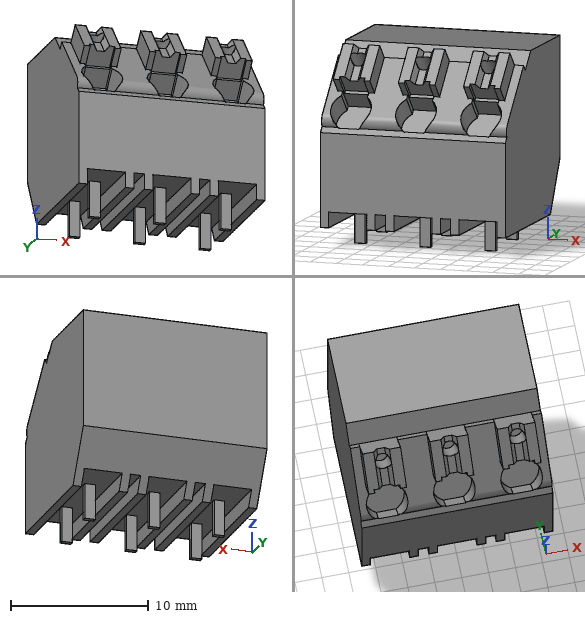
import cadquery as cq
import math


OVERALL_HEIGHT = 14.66
POLE_COUNT = 3
POLE_PITCH = 5.0
POLE_XS = [(i - (POLE_COUNT - 1) / 2) * POLE_PITCH for i in range(POLE_COUNT)]

HOUSING_WIDTH = 14.2
HOUSING_DEPTH = 12.7
HOUSING_HEIGHT = 12.9
BEVEL_FRONT_Z = 7.02
BACK_CHAMFER_DEPTH = 2.26
BACK_CHAMFER_HEIGHT = 3.87
CHANNEL_WIDTH = 2.92
RIB_GAP_WIDTH = 0.78
CHANNEL_HEIGHT = 1.17

SHELF_START = 0.53
SHELF_END = 6.55
SHELF_HEIGHT = 0.59
SHELF_NOSE_RADIUS = 0.73

ENTRY_CENTER = 1.82
ENTRY_RADIUS = 1.52
ENTRY_SHIFT = -0.05
ENTRY_FLAT_OFFSET = 1.33
ENTRY_FLOOR = -1.29
ENTRY_SLOT_WIDTH = 2.0

BUTTON_WIDTH = 2.81
BUTTON_LENGTH = 3.2
BUTTON_RISE = 1.5
BUTTON_FRONT = SHELF_END - BUTTON_LENGTH
BUTTON_TOP = SHELF_HEIGHT + BUTTON_RISE
BUTTON_BOTTOM = ENTRY_FLOOR
NOTCH_WIDTH = 1.9
NOTCH_LENGTH = 0.26
NOTCH_FLOOR = 0.32
GROOVE_TOP_WIDTH = 1.17
GROOVE_FLOOR_WIDTH = 0.59
GROOVE_DEPTH = 0.48
TOOL_HOLE_RADIUS = GROOVE_TOP_WIDTH / 2
TOOL_HOLE_CENTER = 5.54
TOOL_HOLE_FLOOR = 0.0

PIN_WIDTH = 0.8
PIN_THICKNESS = 0.4
PIN_ROW_YS = [3.02, 3.02 + POLE_PITCH]

BUTTON_PEAK_Z = BEVEL_FRONT_Z + (SHELF_END + BUTTON_TOP) * math.sqrt(0.5)
PIN_BOTTOM = BUTTON_PEAK_Z - OVERALL_HEIGHT


def slope_plane(x, height):
    """Plane parallel to the bevel: local x is X, local y runs up the slope."""
    bevel = cq.Plane(origin=(x, 0, BEVEL_FRONT_Z), xDir=(1, 0, 0), normal=(0, -1, 1))
    return cq.Workplane(bevel).workplane(offset=height)


def slope_block(x, width, start, end, bottom, top):
    """Block aligned with the bevel, centred on x."""
    return (
        slope_plane(x, bottom)
        .center(0, (start + end) / 2)
        .rect(width, end - start)
        .extrude(top - bottom)
    )


def slope_point(along, height):
    """(Y, Z) of a point given by its distance up the bevel and height above it."""
    return (
        (along - height) * math.sqrt(0.5),
        BEVEL_FRONT_Z + (along + height) * math.sqrt(0.5),
    )


def make_housing_body():
    nose_end_along = SHELF_START + SHELF_NOSE_RADIUS
    nose_center_height = SHELF_HEIGHT - SHELF_NOSE_RADIUS
    nose_foot_along = nose_end_along - math.sqrt(SHELF_NOSE_RADIUS**2 - nose_center_height**2)
    nose_reach = SHELF_NOSE_RADIUS * math.sqrt(0.5)
    return (
        cq.Workplane("YZ", origin=(-HOUSING_WIDTH / 2, 0, 0))
        .moveTo(0, 0)
        .lineTo(0, BEVEL_FRONT_Z)
        .lineTo(*slope_point(nose_foot_along, 0))
        .threePointArc(
            slope_point(nose_end_along - nose_reach, nose_center_height + nose_reach),
            slope_point(nose_end_along, SHELF_HEIGHT),
        )
        .lineTo(*slope_point(SHELF_END, SHELF_HEIGHT))
        .lineTo(*slope_point(SHELF_END, 0))
        .lineTo(HOUSING_HEIGHT - BEVEL_FRONT_Z, HOUSING_HEIGHT)
        .lineTo(HOUSING_DEPTH, HOUSING_HEIGHT)
        .lineTo(HOUSING_DEPTH, BACK_CHAMFER_HEIGHT)
        .lineTo(HOUSING_DEPTH - BACK_CHAMFER_DEPTH, 0)
        .close()
        .extrude(HOUSING_WIDTH)
    )


def make_channel(x, width):
    """Channel along Y through the underside of the housing."""
    return cq.Workplane("XY").box(
        width, HOUSING_DEPTH, CHANNEL_HEIGHT, centered=(True, False, False)
    ).translate((x, 0, 0))


def make_wire_entry(x):
    """Round entry with a flat lower side and a slot reaching the button."""
    round_entry = (
        slope_plane(x, ENTRY_FLOOR)
        .center(0, ENTRY_CENTER)
        .circle(ENTRY_RADIUS)
        .extrude(BUTTON_TOP - ENTRY_FLOOR)
    )
    above_flat = slope_block(
        x, 2 * ENTRY_RADIUS, ENTRY_CENTER - ENTRY_FLAT_OFFSET, BUTTON_FRONT, ENTRY_FLOOR, BUTTON_TOP
    )
    slot = slope_block(x, ENTRY_SLOT_WIDTH, ENTRY_CENTER, BUTTON_FRONT, ENTRY_FLOOR, BUTTON_TOP)
    return round_entry.intersect(above_flat).union(slot)


def make_button_block(x):
    """Outer block of a button, which is also the shape of its pocket."""
    return slope_block(x, BUTTON_WIDTH, BUTTON_FRONT, SHELF_END, BUTTON_BOTTOM, BUTTON_TOP)


def make_housing():
    housing = make_housing_body()
    for x in POLE_XS:
        housing = housing.cut(make_channel(x, CHANNEL_WIDTH))
        housing = housing.cut(make_wire_entry(x + ENTRY_SHIFT))
        housing = housing.cut(make_button_block(x))
    for left_x, right_x in zip(POLE_XS, POLE_XS[1:]):
        housing = housing.cut(make_channel((left_x + right_x) / 2, RIB_GAP_WIDTH))
    return housing


def make_button(x):
    """Button with a front notch, a tapered groove along its top and a tool hole."""
    notch = slope_block(
        x, NOTCH_WIDTH, BUTTON_FRONT, BUTTON_FRONT + NOTCH_LENGTH, NOTCH_FLOOR, BUTTON_TOP
    )
    section_plane = cq.Plane(
        origin=(x, *slope_point(SHELF_END, BUTTON_TOP)), xDir=(1, 0, 0), normal=(0, -1, -1)
    )
    groove = (
        cq.Workplane(section_plane)
        .polyline([
            (-GROOVE_TOP_WIDTH / 2, 0),
            (GROOVE_TOP_WIDTH / 2, 0),
            (GROOVE_FLOOR_WIDTH / 2, -GROOVE_DEPTH),
            (-GROOVE_FLOOR_WIDTH / 2, -GROOVE_DEPTH),
        ])
        .close()
        .extrude(BUTTON_LENGTH)
    )
    tool_hole = (
        slope_plane(x, TOOL_HOLE_FLOOR)
        .center(0, TOOL_HOLE_CENTER)
        .circle(TOOL_HOLE_RADIUS)
        .extrude(BUTTON_TOP - TOOL_HOLE_FLOOR)
    )
    return make_button_block(x).cut(notch).cut(groove).cut(tool_hole)


def make_pin(x, y):
    """Flat pin hanging from the ceiling of the channel under its pole."""
    return cq.Workplane("XY").box(
        PIN_WIDTH, PIN_THICKNESS, CHANNEL_HEIGHT - PIN_BOTTOM, centered=(True, True, False)
    ).translate((x, y, PIN_BOTTOM))


housing = make_housing()
buttons = [make_button(x) for x in POLE_XS]
pins = [make_pin(x, y) for x in POLE_XS for y in PIN_ROW_YS]

result = cq.Compound.makeCompound([
    housing.solids().val(),
    *[button.solids().val() for button in buttons],
    *[pin.val() for pin in pins],
])